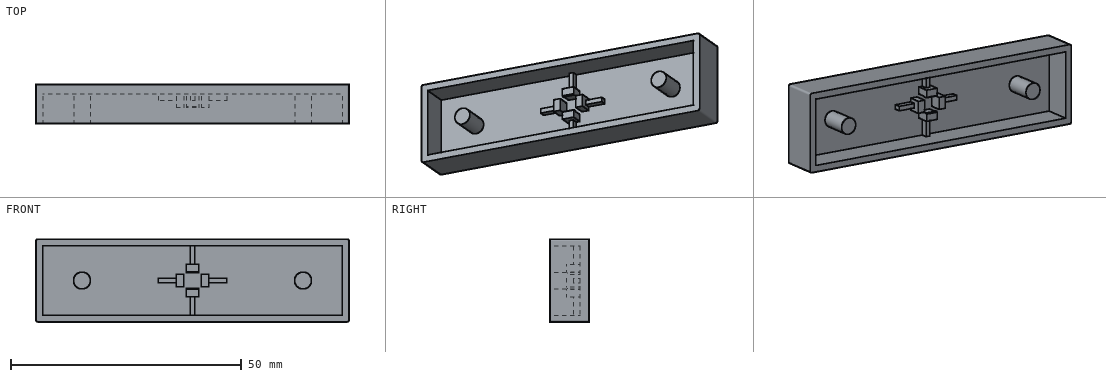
import cadquery as cq

length = 68.0
depth = 8.5
height = 18.0
wall = 1.5
cavity_depth = 6.5
corner_radius = 0.5

pin_diameter = 3.7
pin_spacing = 48.0
pin_length = cavity_depth

block_inner = 1.9
block_outer = 3.55
block_width = 2.7
block_rise = 3.0
barb_height = 0.2
barb_length = 1.3
barb_peak_inset = 0.3

rib_width = 1.0
rib_rise = 1.5
side_rib_reach = 7.5

cavity_half_height = height / 2 - wall
floor_y = cavity_depth - depth / 2


def floor_plane():
    return cq.Workplane("XZ", origin=(0, floor_y, 0))


def make_shell():
    shell = cq.Workplane("XY").box(length, depth, height).edges("|Y").fillet(corner_radius)
    cavity = floor_plane().rect(length - 2 * wall, height - 2 * wall).extrude(cavity_depth)
    return shell.cut(cavity)


def make_pins():
    pin_centres = [(-pin_spacing / 2, 0), (pin_spacing / 2, 0)]
    return floor_plane().pushPoints(pin_centres).circle(pin_diameter / 2).extrude(pin_length)


def radial_bar(start, end, width, rise):
    """Bar on the floor, running along +X from start to end."""
    return floor_plane().center((start + end) / 2, 0).rect(end - start, width).extrude(rise)


def make_arm(rib_reach):
    """Clamp block with its rib, pointing along +X."""
    block = radial_bar(block_inner, block_outer, block_width, block_rise)
    rib = radial_bar(block_outer, rib_reach, rib_width, rib_rise)
    return block.union(rib)


def make_barb():
    """Low triangular barb on the inner face of a block, at its free end."""
    free_end_y = floor_y - block_rise
    outline = [
        (block_inner, free_end_y),
        (block_inner - barb_height, free_end_y + barb_peak_inset),
        (block_inner, free_end_y + barb_length),
    ]
    return cq.Workplane("XY").polyline(outline).close().extrude(block_width / 2, both=True)


def turn_about_y(body, angle):
    return body.rotate((0, 0, 0), (0, 1, 0), angle)


side_arm = make_arm(side_rib_reach)
upright_arm = make_arm(cavity_half_height).union(make_barb())

result = make_shell().union(make_pins())
for side_angle in (0, 180):
    result = result.union(turn_about_y(side_arm, side_angle))
    result = result.union(turn_about_y(upright_arm, side_angle + 90))